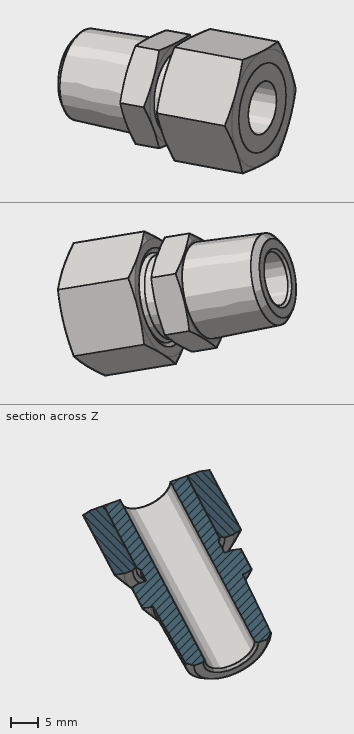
import cadquery as cq
import math

total_length = 39.5

stud_chamfer_length = 1.15
stud_tip_radius = 7.4
stud_start_radius = 8.6
stud_end_radius = 9.05

hex_start = 15.13
hex_length = 5.85
hex_across_flats = 19.0

neck_radius = 7.9
neck_end = 23.55
spigot_radius = 8.4
spigot_chamfer_angle = 30.0
spigot_chamfer_length = (spigot_radius - neck_radius) / math.tan(math.radians(spigot_chamfer_angle))
spigot_start = neck_end + spigot_chamfer_length

bore_radius = 5.0
bore_chamfer = 0.5

nut_start = 23.98
nut_length = total_length - nut_start
nut_across_flats = 22.0
nut_mouth_radius = 9.25

hex_chamfer_angle = 15.0


def turned(profile):
    """Solid of revolution about X; profile lists (x, radius) points from one end to the other."""
    first_x = profile[0][0]
    last_x = profile[-1][0]
    outline = [(first_x, 0), *profile, (last_x, 0)]
    return cq.Workplane("XY").polyline(outline).close().revolve(360, (0, 0, 0), (1, 0, 0))


def chamfered_hexagon(start_x, length, across_flats):
    """Hexagonal prism along X, corners on +Y and -Y, with both ends turned to a shallow cone."""
    flat_radius = across_flats / 2
    corner_radius = flat_radius / math.cos(math.pi / 6)
    cone_length = (corner_radius - flat_radius) * math.tan(math.radians(hex_chamfer_angle))
    end_x = start_x + length
    prism = (
        cq.Workplane("YZ", origin=(start_x, 0, 0))
        .polygon(6, 2 * corner_radius)
        .extrude(length)
    )
    envelope = turned([
        (start_x, flat_radius),
        (start_x + cone_length, corner_radius),
        (end_x - cone_length, corner_radius),
        (end_x, flat_radius),
    ])
    return prism.intersect(envelope)


def make_fitting_body():
    """Tapered stud, wrench hexagon, neck and spigot, with one bore right through."""
    shank = turned([
        (0, stud_tip_radius),
        (stud_chamfer_length, stud_start_radius),
        (hex_start, stud_end_radius),
        (hex_start, neck_radius),
        (neck_end, neck_radius),
        (spigot_start, spigot_radius),
        (total_length, spigot_radius),
    ])
    bore = turned([
        (0, bore_radius + bore_chamfer),
        (bore_chamfer, bore_radius),
        (total_length, bore_radius),
    ])
    wrench_hexagon = chamfered_hexagon(hex_start, hex_length, hex_across_flats)
    return shank.union(wrench_hexagon).cut(bore)


def make_union_nut():
    """Hexagon nut whose countersunk mouth narrows to a hole that fits the spigot."""
    spigot_hole = turned([
        (nut_start, nut_mouth_radius),
        (spigot_start, spigot_radius),
        (total_length, spigot_radius),
    ])
    return chamfered_hexagon(nut_start, nut_length, nut_across_flats).cut(spigot_hole)


fitting_body = make_fitting_body()
union_nut = make_union_nut()

result = cq.Compound.makeCompound([fitting_body.solids().val(), union_nut.solids().val()])